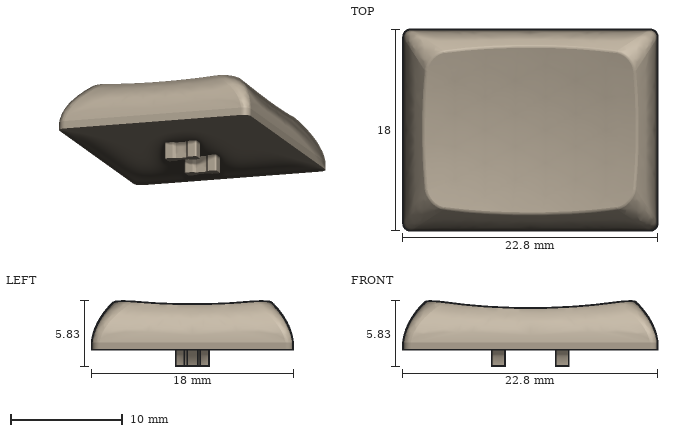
import cadquery as cq


cap_length = 22.75
cap_width = 18.0
base_corner_radius = 0.7

leg_height = 1.45
skirt_height = 0.68
skirt_bottom = leg_height
skirt_top = skirt_bottom + skirt_height

flank_sections = [(0.0, 0.0), (2.0, 0.69), (3.9, 2.28)]
corner_growth = 0.53

dish_radius = 50.0
dish_bottom = 4.65
rim_fillet = 0.3

leg_spacing = 5.7
leg_thickness = 1.2
leg_width = 3.0
leg_corner_fillet = 0.17
notch_mouth = 1.44
notch_floor = 0.94
notch_depth = (notch_mouth - notch_floor) / 2
leg_root = 0.5


def flank_outline(height, inset):
    """Rounded rectangle of the flank at a height above the skirt."""
    return (
        cq.Sketch()
        .rect(cap_length - 2 * inset, cap_width - 2 * inset)
        .vertices()
        .fillet(base_corner_radius + corner_growth * inset)
        .moved(cq.Location(cq.Vector(0, 0, skirt_top + height)))
    )


def make_skirt():
    """Straight-walled band around the foot of the cap."""
    return (
        cq.Workplane("XY", origin=(0, 0, skirt_bottom))
        .rect(cap_length, cap_width)
        .extrude(skirt_height)
        .edges("|Z")
        .fillet(base_corner_radius)
    )


def make_crown():
    """Curved flank, hollowed at the top by the dish and rounded at the rim."""
    outlines = [flank_outline(height, inset) for height, inset in flank_sections]
    flank = cq.Workplane("XY").placeSketch(*outlines).loft()
    ball = cq.Workplane("XY").sphere(dish_radius).rotate((0, 0, 0), (0, 1, 0), -90)
    dish = ball.translate((0, 0, dish_bottom + dish_radius))
    return flank.cut(dish).faces(">Z").edges().fillet(rim_fillet)


def make_leg(center_x):
    """Clip leg with a sloped notch along the middle of both broad sides."""
    leg = (
        cq.Workplane("XY", origin=(center_x, 0, 0))
        .rect(leg_thickness, leg_width)
        .extrude(leg_height + leg_root)
        .edges("|Z")
        .fillet(leg_corner_fillet)
    )
    for side in (-1, 1):
        face_x = center_x + side * leg_thickness / 2
        floor_x = face_x - side * notch_depth
        notch = (
            cq.Workplane("XY")
            .polyline([
                (face_x, -notch_mouth / 2),
                (floor_x, -notch_floor / 2),
                (floor_x, notch_floor / 2),
                (face_x, notch_mouth / 2),
            ])
            .close()
            .extrude(leg_height)
        )
        leg = leg.cut(notch)
    return leg


result = make_skirt().union(make_crown())
for leg_side in (-1, 1):
    result = result.union(make_leg(leg_side * leg_spacing / 2))